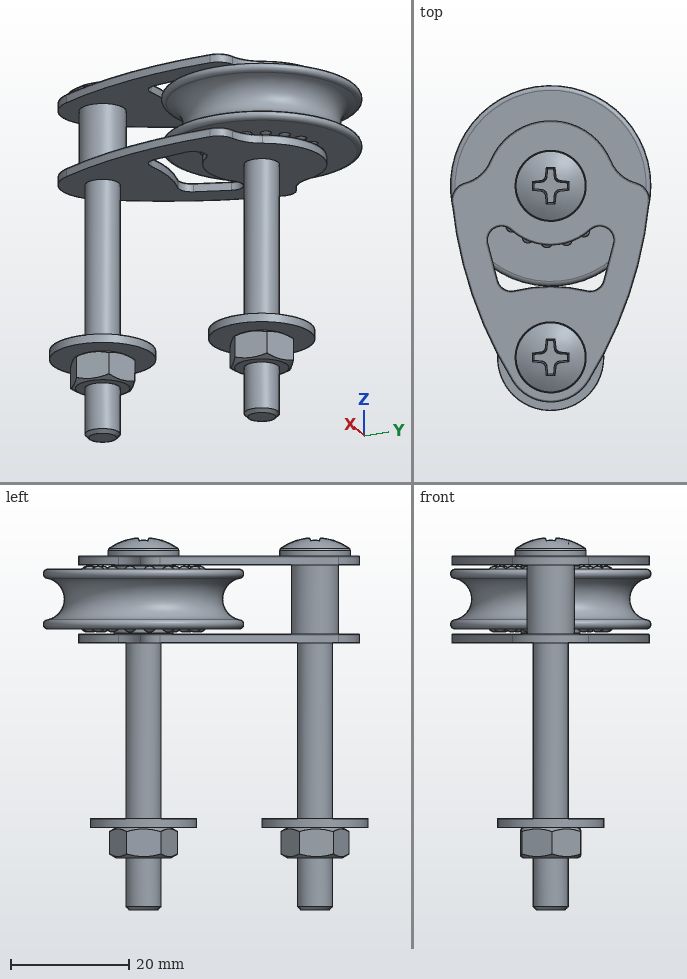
import cadquery as cq
import math

plate_thickness = 1.5
plate_edge_radius = 0.2
top_plate_z = 58.35
bottom_plate_z = 45.15
cheek_gap_bottom = bottom_plate_z + plate_thickness
sheave_mid_z = 52.6
head_seat_z = top_plate_z + plate_thickness

bolt_spacing = 29.0
bolt_places = [(0, 0), (0, -bolt_spacing)]
shank_diameter = 6.0
tip_chamfer = 0.6
head_diameter = 12.0
head_rim_height = 0.9
head_bevel_height = 0.4
dome_edge_radius = 5.85
dome_height = 1.9
recess_arm_length = 6.3
recess_arm_end_width = 1.6
recess_arm_root_width = 1.95
recess_corner_radius = 0.75
recess_depth = 2.5
recess_taper_angle = 7

washer_diameter = 18.0
washer_thickness = 1.5
nut_across_flats = 10.0
nut_bottom_z = 8.8
nut_height = 5.15
nut_crown_angle = 30
nut_face_diameter = 9.2
nut_turns = [0.5, 2.5]

sheave_diameter = 33.9
flange_thickness = 1.6
sheave_width = 10.1
groove_floor_radius = 13.4
hub_diameter = 10.0
hub_chamfer = 0.2
ball_count = 18
ball_radius = 1.2
ball_ring_radius = 9.5
ball_rise = 0.5
ball_start_angle = 6.2

spacer_diameter = 8.0

head_arc_radius = 11.0
tail_arc_radius = 7.55
flank_radius = 71.05
flank_start_angle = -31.7
neck_radius = 6.4
neck_start_angle = 22.5
ear_radius = 3.0

window_inner_radius = 10.0
window_corner_radius = 2.4
lobe_x = 8.3
lower_corner_x = 6.65
lower_corner_y = -15.4
window_floor_radius = 25.15


def polar(center, radius, angle):
    """Point at a radius and an angle in degrees from a centre."""
    turn = math.radians(angle)
    return (center[0] + radius * math.cos(turn), center[1] + radius * math.sin(turn))


def toward(start, target, distance):
    """Point at a distance from start in the direction of target."""
    span = math.dist(start, target)
    return tuple(s + (t - s) * distance / span for s, t in zip(start, target))


def circles_meet(center_a, radius_a, center_b, radius_b):
    """Meeting point of two circles that lies to the left of the line from a to b."""
    span = math.dist(center_a, center_b)
    along = (span**2 + radius_a**2 - radius_b**2) / (2 * span)
    aside = math.sqrt(radius_a**2 - along**2)
    ux = (center_b[0] - center_a[0]) / span
    uy = (center_b[1] - center_a[1]) / span
    return (center_a[0] + along * ux - aside * uy, center_a[1] + along * uy + aside * ux)


def arc_middle(center, radius, start, end):
    """Middle point of the shorter arc between two points of a circle."""
    halfway = ((start[0] + end[0]) / 2, (start[1] + end[1]) / 2)
    return toward(center, halfway, radius)


def mirrored(point):
    return (-point[0], point[1])


def cylinder(diameter, bottom, top, place=(0, 0)):
    return cq.Workplane("XY", origin=(*place, bottom)).circle(diameter / 2).extrude(top - bottom)


def cheek_outline():
    hub = (0, 0)
    tail = (0, -bolt_spacing)
    flank_center = polar(tail, tail_arc_radius - flank_radius, flank_start_angle)
    neck_center = polar(hub, head_arc_radius + neck_radius, neck_start_angle)
    ear_center = circles_meet(
        neck_center, neck_radius + ear_radius, flank_center, flank_radius - ear_radius
    )

    tail_end = polar(tail, tail_arc_radius, flank_start_angle)
    ear_start = toward(flank_center, ear_center, flank_radius)
    ear_end = toward(ear_center, neck_center, ear_radius)
    neck_end = polar(hub, head_arc_radius, neck_start_angle)

    flank_mid = arc_middle(flank_center, flank_radius, tail_end, ear_start)
    ear_mid = arc_middle(ear_center, ear_radius, ear_start, ear_end)
    neck_mid = arc_middle(neck_center, neck_radius, ear_end, neck_end)
    return (
        cq.Workplane("XY")
        .moveTo(*tail_end)
        .threePointArc(flank_mid, ear_start)
        .threePointArc(ear_mid, ear_end)
        .threePointArc(neck_mid, neck_end)
        .threePointArc((0, head_arc_radius), mirrored(neck_end))
        .threePointArc(mirrored(neck_mid), mirrored(ear_end))
        .threePointArc(mirrored(ear_mid), mirrored(ear_start))
        .threePointArc(mirrored(flank_mid), mirrored(tail_end))
        .threePointArc((0, -bolt_spacing - tail_arc_radius), tail_end)
        .close()
    )


def window_outline():
    """Smiling slot under the hub, with round lobes that touch its inner and floor arcs."""
    hub = (0, 0)
    lobe_y = -math.sqrt((window_inner_radius + window_corner_radius) ** 2 - lobe_x**2)
    lobe = (lobe_x, lobe_y)
    corner = (lower_corner_x, lower_corner_y)
    floor_reach = window_floor_radius + window_corner_radius
    floor_center = (0, lower_corner_y - math.sqrt(floor_reach**2 - lower_corner_x**2))
    side_angle = math.degrees(math.atan2(lobe[1] - corner[1], lobe[0] - corner[0])) - 90

    inner_end = toward(hub, lobe, window_inner_radius)
    lobe_end = polar(lobe, window_corner_radius, side_angle)
    corner_start = polar(corner, window_corner_radius, side_angle)
    corner_end = toward(corner, floor_center, window_corner_radius)

    inner_angle = math.degrees(math.atan2(-lobe[1], -lobe[0])) % 360
    lobe_mid = polar(lobe, window_corner_radius, (side_angle + inner_angle) / 2)
    corner_mid = arc_middle(corner, window_corner_radius, corner_start, corner_end)
    return (
        cq.Workplane("XY")
        .moveTo(*inner_end)
        .threePointArc(lobe_mid, lobe_end)
        .lineTo(*corner_start)
        .threePointArc(corner_mid, corner_end)
        .threePointArc((0, floor_center[1] + window_floor_radius), mirrored(corner_end))
        .threePointArc(mirrored(corner_mid), mirrored(corner_start))
        .lineTo(*mirrored(lobe_end))
        .threePointArc(mirrored(lobe_mid), mirrored(inner_end))
        .threePointArc((0, -window_inner_radius), inner_end)
        .close()
    )


def cheek_plate(bottom):
    blank = cheek_outline().extrude(plate_thickness)
    window = window_outline().extrude(plate_thickness)
    plate = blank.cut(window).faces(">Z").edges().fillet(plate_edge_radius)
    return plate.translate((0, 0, bottom))


def sheave():
    """Grooved wheel with full-round flange rims and bearing balls showing on both faces."""
    half_width = sheave_width / 2
    rim_radius = flange_thickness / 2
    rim_center = sheave_diameter / 2 - rim_radius
    flange_inside = half_width - flange_thickness
    wheel = (
        cq.Workplane("XZ")
        .moveTo(0, -half_width)
        .lineTo(rim_center, -half_width)
        .threePointArc((sheave_diameter / 2, rim_radius - half_width), (rim_center, -flange_inside))
        .threePointArc((groove_floor_radius, 0), (rim_center, flange_inside))
        .threePointArc((sheave_diameter / 2, half_width - rim_radius), (rim_center, half_width))
        .lineTo(0, half_width)
        .close()
        .revolve(360, (0, 0, 0), (0, 1, 0))
    )
    ball_height = half_width + ball_rise - ball_radius
    for i in range(ball_count):
        angle = ball_start_angle + i * 360 / ball_count
        x, y = polar((0, 0), ball_ring_radius, angle)
        for z in (ball_height, -ball_height):
            wheel = wheel.union(cq.Workplane("XY", origin=(x, y, z)).sphere(ball_radius))
    return wheel.translate((0, 0, sheave_mid_z))


def bolt_head():
    """Domed pan head with a beveled rim and a tapered cross recess."""
    rim_top = head_seat_z + head_rim_height
    dome_edge_z = rim_top + head_bevel_height
    dome_top = dome_edge_z + dome_height
    dome_radius = (dome_edge_radius**2 + dome_height**2) / (2 * dome_height)
    half_edge = dome_edge_radius / 2
    dome_mid_z = dome_top - dome_radius + math.sqrt(dome_radius**2 - half_edge**2)
    head = (
        cq.Workplane("XZ")
        .moveTo(0, head_seat_z)
        .lineTo(head_diameter / 2, head_seat_z)
        .lineTo(head_diameter / 2, rim_top)
        .lineTo(dome_edge_radius, dome_edge_z)
        .threePointArc((half_edge, dome_mid_z), (0, dome_top))
        .close()
        .revolve(360, (0, 0, 0), (0, 1, 0))
    )
    tip = recess_arm_length / 2
    tip_half = recess_arm_end_width / 2
    root = recess_arm_root_width / 2
    arm_points = [(root, root), (tip, tip_half), (tip, -tip_half), (root, -root)]
    cross = cq.Workplane("XY").rect(2 * root, 2 * root).extrude(-recess_depth)
    arm = cq.Workplane("XY").polyline(arm_points).close().extrude(-recess_depth)
    for turn in (0, 90, 180, 270):
        cross = cross.union(arm.rotate((0, 0, 0), (0, 0, 1), turn))
    reach = 2 * root
    inner_corners = cq.selectors.BoxSelector((-reach, -reach, -recess_depth), (reach, reach, 0))
    recess = (
        cross.edges("|Z")
        .edges(inner_corners)
        .fillet(recess_corner_radius)
        .faces(">Z")
        .wires()
        .toPending()
        .extrude(-recess_depth, combine=False, taper=recess_taper_angle)
    )
    return head.cut(recess.translate((0, 0, dome_top)))


def hex_nut(turn):
    """Hexagon nut with two corners close to the Y direction and both faces crowned."""
    across_corners = nut_across_flats / math.cos(math.pi / 6)
    crown_run = (across_corners - nut_face_diameter) / 2
    crown_height = crown_run * math.tan(math.radians(nut_crown_angle))
    hexagon = (
        cq.Workplane("XY")
        .polygon(6, across_corners)
        .extrude(nut_height)
        .rotate((0, 0, 0), (0, 0, 1), 90 + turn)
    )
    crown = (
        cq.Workplane("XZ")
        .moveTo(0, 0)
        .lineTo(nut_face_diameter / 2, 0)
        .lineTo(across_corners / 2, crown_height)
        .lineTo(across_corners / 2, nut_height - crown_height)
        .lineTo(nut_face_diameter / 2, nut_height)
        .lineTo(0, nut_height)
        .close()
        .revolve(360, (0, 0, 0), (0, 1, 0))
    )
    return hexagon.intersect(crown).translate((0, 0, nut_bottom_z))


def bolt_set(nut_turn):
    """One bolt with its head, shank, washer and nut."""
    washer_z = nut_bottom_z + nut_height
    shank = cylinder(shank_diameter, 0, head_seat_z).faces("<Z").chamfer(tip_chamfer)
    washer = cylinder(washer_diameter, washer_z, washer_z + washer_thickness)
    return shank.union(bolt_head()).union(washer).union(hex_nut(nut_turn))


result = cheek_plate(top_plate_z).union(cheek_plate(bottom_plate_z))
result = result.union(sheave())
hub = cylinder(hub_diameter, cheek_gap_bottom, top_plate_z).edges().chamfer(hub_chamfer)
result = result.union(hub)
result = result.union(cylinder(spacer_diameter, cheek_gap_bottom, top_plate_z, bolt_places[1]))
for place, nut_turn in zip(bolt_places, nut_turns):
    result = result.union(bolt_set(nut_turn).translate((*place, 0)))